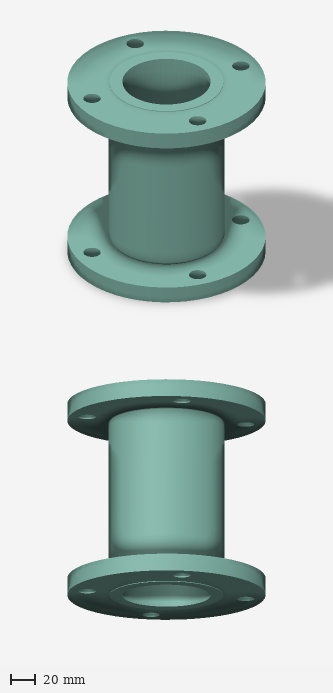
import cadquery as cq

overall_length = 160.0
flange_diameter = 160.0

flange_thickness = 14.0
face_diameter = 91.8
face_height = 0.5

bolt_count = 4
bolt_hole_diameter = 14.0
bolt_circle_diameter = 130.0
first_bolt_angle = 45.0

body_diameter = 93.8
body_fillet = 3.0
neck_diameter = 83.2
neck_gap = 0.5

bore_diameter = 71.0

half_length = overall_length / 2
flange_outer_z = half_length - face_height
flange_inner_z = flange_outer_z - flange_thickness
body_half_length = flange_inner_z - neck_gap


def disc(diameter, bottom_z, top_z):
    """Solid round disc about the Z axis between two heights."""
    return (
        cq.Workplane("XY")
        .workplane(offset=bottom_z)
        .circle(diameter / 2)
        .extrude(top_z - bottom_z)
    )


def flange():
    """Upper flange with its raised face and bolt holes."""
    plate = disc(flange_diameter, flange_inner_z, flange_outer_z)
    bolt_holes = (
        cq.Workplane("XY")
        .workplane(offset=flange_inner_z)
        .polarArray(bolt_circle_diameter / 2, first_bolt_angle, 360, bolt_count)
        .circle(bolt_hole_diameter / 2)
        .extrude(flange_thickness)
    )
    raised_face = disc(face_diameter, flange_outer_z, half_length)
    return plate.cut(bolt_holes).union(raised_face)


def body():
    """Central barrel with rounded ends."""
    barrel = disc(body_diameter, -body_half_length, body_half_length)
    return barrel.edges("%CIRCLE").fillet(body_fillet)


upper_flange = flange()
lower_flange = upper_flange.mirror("XY")
neck = disc(neck_diameter, -flange_inner_z, flange_inner_z)
bore = disc(bore_diameter, -half_length, half_length)

result = body().union(neck).union(upper_flange).union(lower_flange).cut(bore)